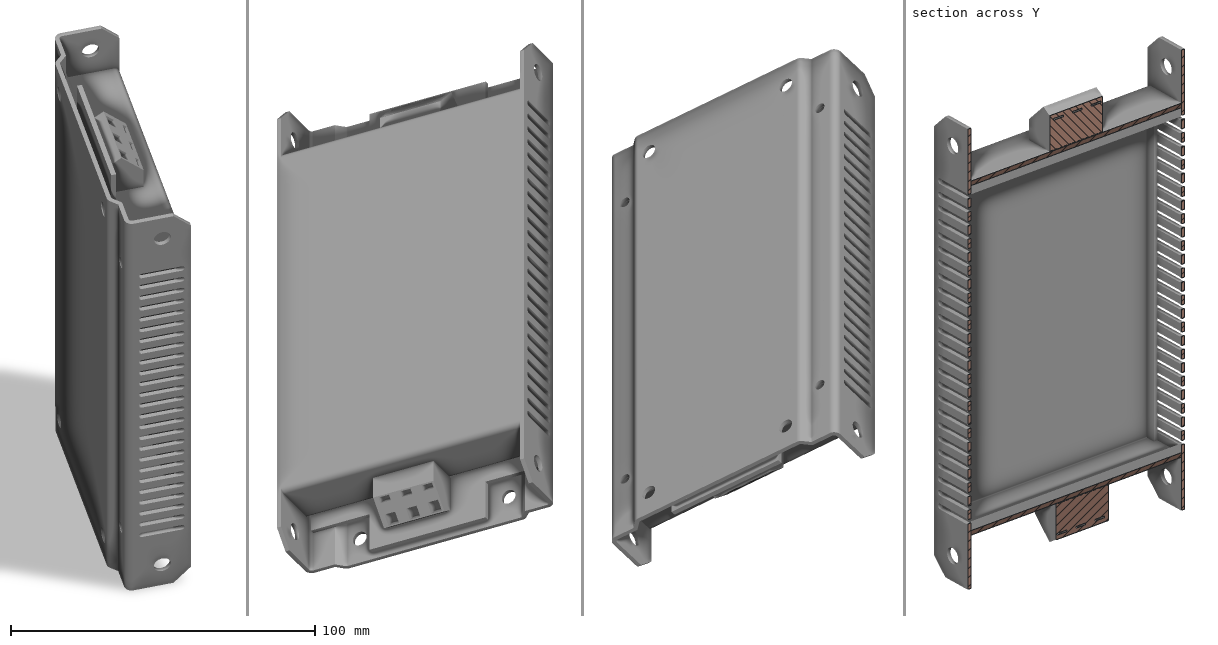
import cadquery as cq
import math

length = 170.0
width = 92.0
depth = 25.0
back = depth / 2
front = -depth / 2

sheet = 1.5
wall_bend = 2.5
face_bend = 2.4
step_height = 2.9
slope_start = 36.0
wall_chamfer = 6.0
wall_hole_diameter = 5.8
wall_hole_y = 2.7
mount_x = 27.7
mount_z = 75.6
mount_diameter = 5.1
screw_x = 39.5
screw_z = 61.4
screw_diameter = 3.7
slot_count = 25
slot_span = 120.0
slot_length = 15.5
slot_height = 2.0
slot_y = 2.5

board_thickness = 1.7
board_length = 141.1
tab_width = 43.2
tab_length = 168.6
pilot_diameter = 3.0

cover_length = 130.9
cover_bend = 1.9
end_lip = 5.1
side_lip_y = 7.3

block_width = 22.5
block_top = 5.8
slant_start_z = 73.1
slant_end_y = -1.9
nose_angle = 33.0
pocket_pitch = 8.0
pocket_offset = 0.5
pocket_width = 3.9
pocket_rows = ((5.5, 4.0), (1.2, -1.5))
pocket_depth = 5.1
pin_pitch = 7.0
pin_offset = -0.5
pin_diameter = 1.0
pin_z = 73.1
pin_tip = -10.5
block_shift = 2.5

half_length = length / 2
half_width = width / 2
flange_outer = front + step_height
board_seat = flange_outer + sheet
board_top = board_seat + board_thickness
board_width = 2 * (half_width - wall_bend)
slot_pitch = slot_span / (slot_count - 1)
cover_half = cover_length / 2
inner_half_width = half_width - sheet
half_bend = math.radians(22.5)
diagonal = math.sqrt(0.5)


def through_y(points, diameter):
    """Cylinders running along Y through the whole part, at (x, z) points."""
    return (
        cq.Workplane("XZ", origin=(0, depth, 0))
        .pushPoints(points)
        .circle(diameter / 2)
        .extrude(2 * depth)
    )


def four_corners(x, z):
    """The four (x, z) points mirrored about both centre planes."""
    return [(sx * x, sz * z) for sx in (-1, 1) for sz in (-1, 1)]


def make_base_half():
    """The +X half of the bent base sheet, without holes."""
    slope_end = slope_start - step_height
    offset = sheet * math.tan(half_bend)
    tangent = face_bend * math.tan(half_bend)
    inner_bend = face_bend - sheet
    bend_x = half_width - wall_bend
    bend_y = flange_outer + wall_bend
    inner_wall_bend = wall_bend - sheet
    inner_wall_shift = inner_wall_bend * diagonal
    arc_x = slope_end - tangent
    arc_y = front + face_bend
    outer_shift = face_bend * diagonal
    inner_shift = inner_bend * diagonal
    mid_outer = (arc_x + face_bend * math.sin(half_bend), arc_y - face_bend * math.cos(half_bend))
    mid_inner = (arc_x + inner_bend * math.sin(half_bend), arc_y - inner_bend * math.cos(half_bend))
    wall_shift = wall_bend * diagonal
    return (
        cq.Workplane("XY", origin=(0, 0, -half_length))
        .moveTo(0, front)
        .lineTo(arc_x, front)
        .threePointArc(mid_outer, (arc_x + outer_shift, arc_y - outer_shift))
        .lineTo(slope_start, flange_outer)
        .lineTo(bend_x, flange_outer)
        .threePointArc((bend_x + wall_shift, bend_y - wall_shift), (half_width, bend_y))
        .lineTo(half_width, back)
        .lineTo(inner_half_width, back)
        .lineTo(inner_half_width, bend_y)
        .threePointArc((bend_x + inner_wall_shift, bend_y - inner_wall_shift), (bend_x, board_seat))
        .lineTo(slope_start - offset, board_seat)
        .lineTo(arc_x + inner_shift, arc_y - inner_shift)
        .threePointArc(mid_inner, (arc_x, front + sheet))
        .lineTo(0, front + sheet)
        .close()
        .extrude(length)
    )


def make_base():
    """Bent sheet carrying the other parts, with vented and perforated side walls."""
    right = make_base_half()
    base = right.union(right.mirror("YZ"))
    base = base.edges("|X").edges(">Y").edges(">Z or <Z").chamfer(wall_chamfer)
    base = base.cut(through_y(four_corners(mount_x, mount_z), mount_diameter))
    base = base.cut(through_y(four_corners(screw_x, screw_z), screw_diameter))
    side = cq.Workplane("YZ", origin=(-width, 0, 0))
    wall_holes = (
        side.pushPoints([(wall_hole_y, mount_z), (wall_hole_y, -mount_z)])
        .circle(wall_hole_diameter / 2)
        .extrude(2 * width)
    )
    slots = (
        side.center(slot_y, 0)
        .rarray(1.7, slot_pitch, 1, slot_count)
        .slot2D(slot_length, slot_height)
        .extrude(2 * width)
    )
    return base.cut(wall_holes).cut(slots)


def pin_positions(centre, direction):
    """The (x, z) points of a pin row; direction is 1 at the +Z end and -1 at the -Z end."""
    row_x = centre + direction * pin_offset
    return [(row_x + i * pin_pitch, direction * pin_z) for i in (-1, 0, 1)]


def make_board():
    """Circuit board with a narrower tab at each end, drilled for screws and pins."""
    middle_y = board_seat + board_thickness / 2
    board = cq.Workplane("XY").box(board_width, board_thickness, board_length)
    board = board.union(cq.Workplane("XY").box(tab_width, board_thickness, tab_length))
    board = board.translate((0, middle_y, 0))
    board = board.cut(through_y(four_corners(screw_x, screw_z), pilot_diameter))
    board = board.cut(through_y(pin_positions(0, 1), pin_diameter))
    return board.cut(through_y(pin_positions(block_shift, -1), pin_diameter))


def make_cover():
    """Sheet cover with rounded ends turned under onto the board and short side lips."""
    height = back - board_top
    outer = (
        cq.Workplane("XY")
        .box(2 * inner_half_width, height, cover_length)
        .edges("|X")
        .fillet(cover_bend)
    )
    cavity = (
        cq.Workplane("XY")
        .box(2 * inner_half_width, height - 2 * sheet, cover_length - 2 * sheet)
        .edges("|X")
        .fillet(cover_bend - sheet)
    )
    opening = (
        cq.Workplane("XY")
        .box(2 * inner_half_width, height, cover_length - 2 * end_lip)
        .translate((0, -height / 2, 0))
    )
    channel = outer.cut(cavity).cut(opening).translate((0, board_top + height / 2, 0))
    lip_height = back - sheet / 2 - side_lip_y
    for side in (-1, 1):
        lip_x = side * (inner_half_width - sheet / 2)
        lip = cq.Workplane("XY").box(sheet, lip_height, cover_length - 2 * sheet)
        channel = channel.union(lip.translate((lip_x, side_lip_y + lip_height / 2, 0)))
    return channel


def make_block():
    """Terminal block at the +Z end, centred on X = 0."""
    slant_end_z = slant_start_z + block_top - slant_end_y
    nose_drop = (slant_end_y - board_top) * math.tan(math.radians(nose_angle))
    body = (
        cq.Workplane("YZ", origin=(-block_width / 2, 0, 0))
        .polyline([
            (board_top, cover_half),
            (block_top, cover_half),
            (block_top, slant_start_z),
            (slant_end_y, slant_end_z),
            (board_top, slant_end_z - nose_drop),
        ])
        .close()
        .extrude(block_width)
    )
    step = pocket_depth * diagonal
    for near, far in pocket_rows:
        z_near = slant_start_z + block_top - near
        z_far = slant_start_z + block_top - far
        for i in (-1, 0, 1):
            pocket = (
                cq.Workplane("YZ", origin=(pocket_offset + i * pocket_pitch - pocket_width / 2, 0, 0))
                .polyline([(near, z_near), (near - step, z_near - step),
                           (far - step, z_far - step), (far, z_far)])
                .close()
                .extrude(pocket_width)
            )
            body = body.cut(pocket)
    pins = (
        cq.Workplane("XZ", origin=(0, board_top, 0))
        .pushPoints(pin_positions(0, 1))
        .circle(pin_diameter / 2)
        .extrude(board_top - pin_tip)
    )
    return body.union(pins)


base = make_base()
board = make_board()
cover = make_cover()
upper_block = make_block()
lower_block = upper_block.rotate((0, 0, 0), (0, 1, 0), 180).translate((block_shift, 0, 0))

result = cq.Compound.makeCompound(
    [base.val(), board.val(), cover.val(), upper_block.val(), lower_block.val()]
)